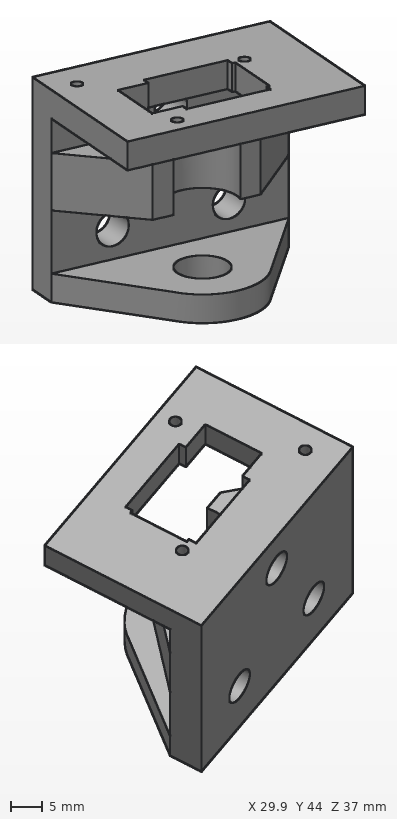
import cadquery as cq
import math

depth = 29.95
width = 44.0
height = 37.0
wall_thickness = 6.0
plate_thickness = 5.0
mid_y = 22.15

axis_x = 15.95
shelf_bore_diameter = 9.3
shelf_nose_radius = 11.0
shelf_shoulder_x = 22.1

block_bottom = 16.0
block_height = 10.0
block_front_x = 17.42
block_shoulder_y = 12.0
block_relief_radius = 6.4

wide_x = (10.05, 23.5)
wide_y = (14.75, 30.25)
narrow_x = (11.45, 22.2)
narrow_y = (9.1, 30.85)

pin_hole_diameter = 2.0
pin_hole_points = [(11.05, 32.8), (26.55, 11.2), (wall_thickness, 4.75)]

mount_hole_diameter = 6.0
mount_spread = 10.8
mount_low_z = 10.3
mount_high_z = block_bottom + block_height + mount_hole_diameter / 2


def box_between(x_range, y_range, z_range):
    """Box spanning the given pairs of limits."""
    sizes = [high - low for low, high in (x_range, y_range, z_range)]
    corner = (x_range[0], y_range[0], z_range[0])
    return cq.Workplane("XY").box(*sizes, centered=False).translate(corner)


def make_wall():
    wall = box_between((0, wall_thickness), (0, width), (0, height))
    points = [
        (mid_y, mount_high_z),
        (mid_y - mount_spread, mount_low_z),
        (mid_y + mount_spread, mount_low_z),
    ]
    holes = (
        cq.Workplane("YZ")
        .pushPoints(points)
        .circle(mount_hole_diameter / 2)
        .extrude(wall_thickness)
    )
    return wall.cut(holes)


def make_top_plate():
    z_range = (height - plate_thickness, height)
    plate = box_between((0, depth), (0, width), z_range)
    plate = plate.cut(box_between(wide_x, wide_y, z_range))
    return plate.cut(box_between(narrow_x, narrow_y, z_range))


def make_pin_holes():
    """Cutters reaching from the top face to the underside of the plate."""
    return (
        cq.Workplane("XY", origin=(0, 0, height - plate_thickness))
        .pushPoints(pin_hole_points)
        .circle(pin_hole_diameter / 2)
        .extrude(plate_thickness)
    )


def make_shelf():
    """Lower shelf tapering from the full wall width to a round nose."""
    shoulder_offset = math.sqrt(shelf_nose_radius**2 - (shelf_shoulder_x - axis_x) ** 2)
    return (
        cq.Workplane("XY")
        .moveTo(wall_thickness, 0)
        .lineTo(shelf_shoulder_x, mid_y - shoulder_offset)
        .threePointArc(
            (axis_x + shelf_nose_radius, mid_y),
            (shelf_shoulder_x, mid_y + shoulder_offset),
        )
        .lineTo(wall_thickness, width)
        .close()
        .moveTo(axis_x, mid_y)
        .circle(shelf_bore_diameter / 2)
        .extrude(plate_thickness)
    )


def make_block():
    """Tapered block with a round relief open towards +X."""
    outline = [
        (wall_thickness, 0),
        (block_front_x, block_shoulder_y),
        (block_front_x, width - block_shoulder_y),
        (wall_thickness, width),
    ]
    plane = cq.Workplane("XY", origin=(0, 0, block_bottom))
    relief = plane.center(axis_x, mid_y).circle(block_relief_radius).extrude(block_height)
    return plane.polyline(outline).close().extrude(block_height).cut(relief)


body = make_wall().union(make_top_plate()).union(make_shelf()).union(make_block())
result = body.cut(make_pin_holes())